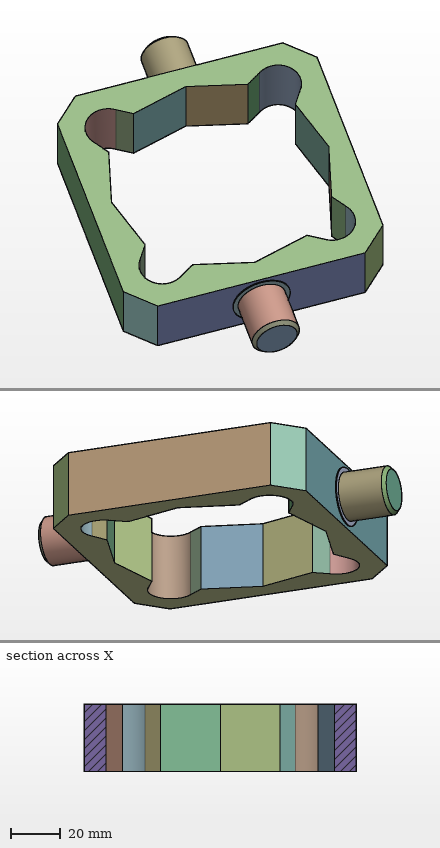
import cadquery as cq
import math

frame_side = 109.0
frame_height = 27.0
corner_chamfer = 11.0

valley_distance = 45.6
peak_offset = 24.0
valley_slope = 15.0
peak_distance = valley_distance - peak_offset * math.tan(math.radians(valley_slope))
lobe_radius = 9.3
lobe_start_angle = 127.0
lobe_center = 35.7

overall_length = 150.0
pin_diameter = 20.0
pin_chamfer = 1.5
collar_diameter = 24.0
collar_thickness = 0.5
pin_length = (overall_length - frame_side) / 2


def turned(point, quarter):
    """Rotate a point about the frame centre by a number of quarter turns."""
    x, y = point
    for _ in range(quarter):
        x, y = -y, x
    return x, y


def make_frame():
    frame = cq.Workplane("XY").box(frame_side, frame_side, frame_height)
    return frame.edges("|Z").chamfer(corner_chamfer)


def make_opening():
    lobe_start = math.radians(lobe_start_angle)
    lobe_start_x = lobe_center + lobe_radius * math.cos(lobe_start)
    lobe_start_y = lobe_center + lobe_radius * math.sin(lobe_start)
    lobe_tip = lobe_center + lobe_radius / math.sqrt(2)

    outline = cq.Workplane("XY").workplane(offset=-frame_height / 2).moveTo(valley_distance, 0)
    for quarter in range(4):
        outline = outline.lineTo(*turned((peak_distance, peak_offset), quarter))
        outline = outline.lineTo(*turned((lobe_start_y, lobe_start_x), quarter))
        outline = outline.threePointArc(
            turned((lobe_tip, lobe_tip), quarter),
            turned((lobe_start_x, lobe_start_y), quarter),
        )
        outline = outline.lineTo(*turned((peak_offset, peak_distance), quarter))
        if quarter < 3:
            outline = outline.lineTo(*turned((0, valley_distance), quarter))
    return outline.close().extrude(frame_height)


def make_trunnion(side):
    """Collar and chamfered pin on the +X (side = 1) or -X (side = -1) face."""
    face = cq.Workplane("YZ").workplane(offset=side * frame_side / 2)
    collar = face.circle(collar_diameter / 2).extrude(side * collar_thickness)
    pin = face.circle(pin_diameter / 2).extrude(side * pin_length)
    outer_end = ">X" if side > 0 else "<X"
    return pin.faces(outer_end).chamfer(pin_chamfer).union(collar)


result = make_frame().cut(make_opening())
for side in (-1, 1):
    result = result.union(make_trunnion(side))